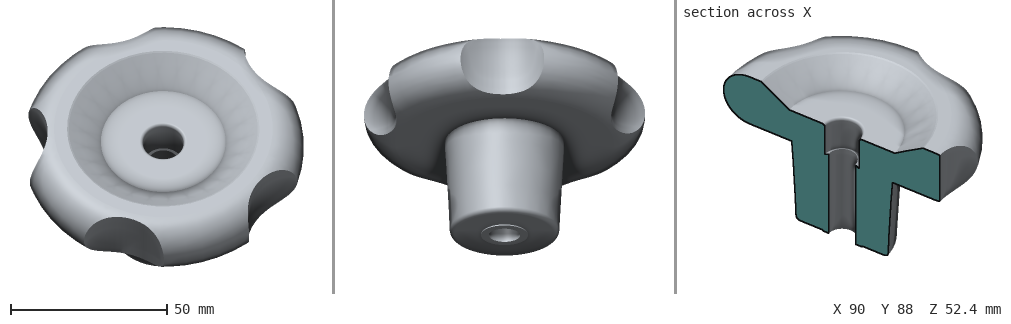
import cadquery as cq
import math

head_radius = 45.0
head_height = 20.0
rim_radius = head_height / 2
rim_center_radius = head_radius - rim_radius

dish_mouth_radius = 30.8
dish_wall_radius = 30.2
dish_floor_radius = 20.0
dish_lip_depth = 0.3
dish_depth = 7.0

scallop_count = 5
scallop_radius = 18.0
scallop_center_radius = 55.0
first_scallop_angle = -90

stem_bottom = -52.0
stem_top_radius = 19.2
stem_bottom_radius = 17.5
stem_edge_fillet = 1.6

bushing_radius = 15.0 / 2
bushing_projection = 0.4
bushing_bottom = stem_bottom - bushing_projection
bore_radius = 10.1 / 2
counterbore_radius = 13.0 / 2
bore_mouth_fillet = bushing_radius - counterbore_radius

counterbore_depth = 12.6
sleeve_chamfer_angle = 30
sleeve_chamfer_height = (counterbore_radius - bore_radius) * math.tan(math.radians(sleeve_chamfer_angle))


def make_head():
    """Revolve the rounded rim and the dished top."""
    return (
        cq.Workplane("XZ")
        .moveTo(0, -head_height)
        .lineTo(rim_center_radius, -head_height)
        .threePointArc((head_radius, -rim_radius), (rim_center_radius, 0))
        .lineTo(dish_mouth_radius, 0)
        .lineTo(dish_wall_radius, -dish_lip_depth)
        .lineTo(dish_floor_radius, -dish_depth)
        .lineTo(0, -dish_depth)
        .close()
        .revolve(360, (0, 0, 0), (0, 1, 0))
    )


def make_scallops():
    """Vertical cylinders that cut the finger grips."""
    return (
        cq.Workplane("XY")
        .polarArray(scallop_center_radius, first_scallop_angle, 360, scallop_count)
        .circle(scallop_radius)
        .extrude(-head_height)
    )


def make_stem():
    """Tapered stem with a rounded lower edge."""
    stem = (
        cq.Workplane("XY", origin=(0, 0, stem_bottom))
        .circle(stem_bottom_radius)
        .workplane(offset=-head_height - stem_bottom)
        .circle(stem_top_radius)
        .loft()
    )
    return stem.faces("<Z").edges().fillet(stem_edge_fillet)


def make_bore():
    """Stepped bore: rounded mouth, counterbore and a cone-ended sleeve around the through hole."""
    counterbore_bottom = -dish_depth - counterbore_depth
    mouth_arc_inset = bore_mouth_fillet * (1 - math.sqrt(0.5))
    return (
        cq.Workplane("XZ")
        .moveTo(0, bushing_bottom)
        .lineTo(bore_radius, bushing_bottom)
        .lineTo(bore_radius, counterbore_bottom + sleeve_chamfer_height)
        .lineTo(counterbore_radius, counterbore_bottom)
        .lineTo(counterbore_radius, -dish_depth - bore_mouth_fillet)
        .threePointArc(
            (counterbore_radius + mouth_arc_inset, -dish_depth - mouth_arc_inset),
            (bushing_radius, -dish_depth),
        )
        .lineTo(0, -dish_depth)
        .close()
        .revolve(360, (0, 0, 0), (0, 1, 0))
    )


def make_bushing():
    """Bushing end, slightly proud of the stem."""
    return (
        cq.Workplane("XY", origin=(0, 0, bushing_bottom))
        .circle(bushing_radius)
        .extrude(-head_height - bushing_bottom)
    )


body = make_head().cut(make_scallops())
body = body.union(make_stem()).union(make_bushing())
result = body.cut(make_bore())